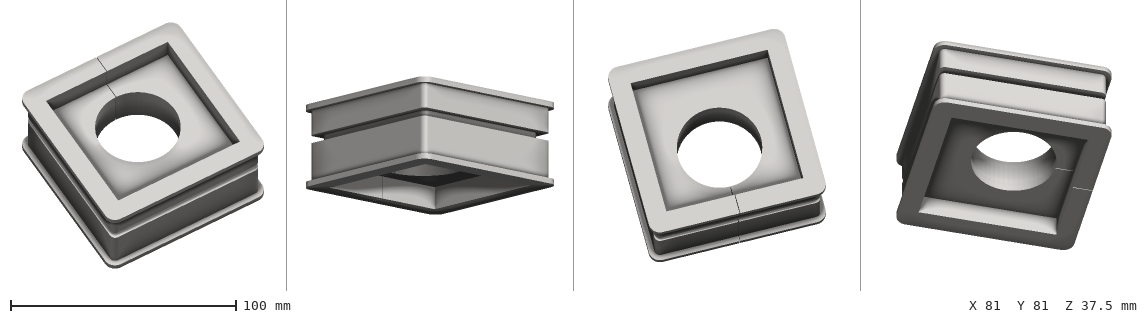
import cadquery as cq

side = 81.0
height = 37.5
flange_thickness = 2.5
flange_corner = 5.0

body_inset = 2.5
body_corner = flange_corner - body_inset

groove_inset = 6.5
groove_corner = 2.5
groove_bottom = 20.2
groove_width = 3.7

recess_side = 62.85
recess_depth = 10.05

bore_diameter = 38.0
bore_x = -4.45
slit_width = 0.3


def square_slab(width, bottom, top, corner=0):
    """Square prism centred on Z, with optional rounded vertical edges."""
    slab = cq.Workplane("XY").workplane(offset=bottom).rect(width, width).extrude(top - bottom)
    if corner > 0:
        slab = slab.edges("|Z").fillet(corner)
    return slab


def outer_shape():
    """Two flanges and two body bands, joined by the narrower groove core."""
    body_side = side - 2 * body_inset
    core_side = side - 2 * groove_inset
    groove_top = groove_bottom + groove_width
    upper_flange_bottom = height - flange_thickness
    shape = square_slab(side, 0, flange_thickness, flange_corner)
    shape = shape.union(square_slab(body_side, flange_thickness, groove_bottom, body_corner))
    shape = shape.union(square_slab(core_side, groove_bottom, groove_top, groove_corner))
    shape = shape.union(square_slab(body_side, groove_top, upper_flange_bottom, body_corner))
    return shape.union(square_slab(side, upper_flange_bottom, height, flange_corner))


def bore():
    return cq.Workplane("XY").center(bore_x, 0).circle(bore_diameter / 2).extrude(height)


def slit():
    """Full-height cut from the -X side to the bore axis."""
    length = side / 2 + bore_x
    middle_x = bore_x - length / 2
    return cq.Workplane("XY").center(middle_x, 0).rect(length, slit_width).extrude(height)


result = outer_shape()
result = result.cut(square_slab(recess_side, 0, recess_depth))
result = result.cut(square_slab(recess_side, height - recess_depth, height))
result = result.cut(bore()).cut(slit())